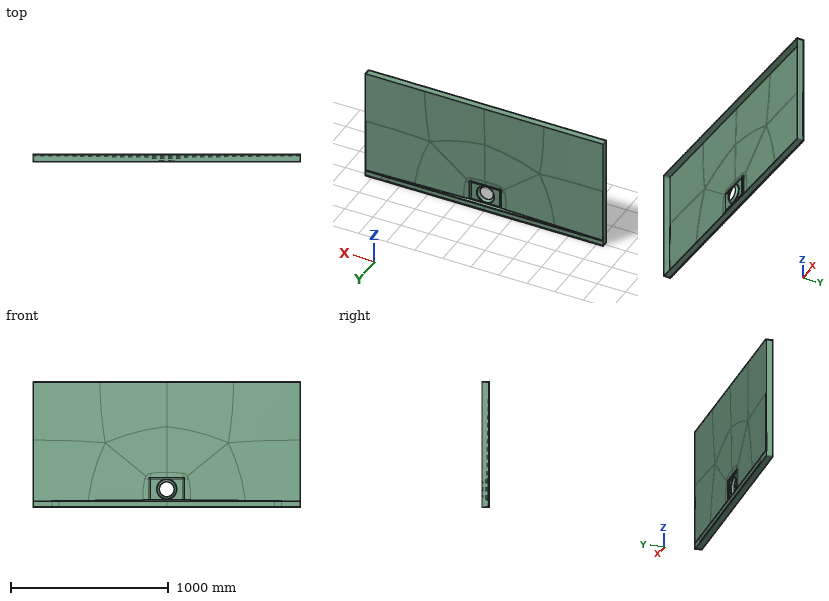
import cadquery as cq
LENGTH = 1700.0
DEPTH = 48.0
HEIGHT = 800.0
WALL = 5.0
FLOOR = 6.0
CORNER_RADIUS = 6.5
RIM_RADIUS = 3.0

BACK = DEPTH / 2
LEDGE_PLANE = BACK - FLOOR
INNER_X = LENGTH / 2 - WALL
INNER_TOP = HEIGHT - WALL
SHEET_SHIFT = cq.Vector(0, FLOOR, 0)

LEDGE_TOP = 38.5
LEDGE_OVERLAP = 1.5
RAMP_OUTER_X = 729.0
RAMP_INNER_X = 683.0
RAMP_DROP = 2.0
LEDGE_DROP = 2.5

STEP_DRAFT = 0.9
END_STEP_DROP = 3.5

RIDGE_X = 391.0
RIDGE_Z = 411.0
RIDGE_DROP = 8.0
CROWN_Z = 514.0
CROWN_DROP = 7.0
TOP_CREASE_X = 426.0
SIDE_CREASE_Z = 428.0
FOOT_X = 499.0
FOOT_DROP = 8.0
CREASE_BOW = 14.0
CREASE_SKEW = 7.0
SIDE_CREASE_BOW = 5.0

APRON_FOOT_X = 152.0
APRON_SIDE_X = 140.0
APRON_SIDE_Z = 180.0
APRON_CORNER_X = 129.0
APRON_CORNER_Z = 197.0
APRON_SHOULDER_X = 103.0
APRON_TOP_Z = 223.0
APRON_SHOULDER_Z = 217.0
APRON_DROP = 12.0
APRON_TOP_DROP = 11.5
APRON_BOW = 3.5
APRON_HEAD_BOW = 2.0

SUMP_X = 114.0
SUMP_TOP = 192.0
SUMP_TAPER = 12.0
SUMP_BASE_DROP = 14.0
SUMP_DROP = 20.0

DRAIN_Z = 116.0
DRAIN_RADIUS = 46.0
SPIGOT_BASE_RADIUS = 61.0
SPIGOT_TIP_RADIUS = 48.0
SPIGOT_LENGTH = 14.0


def point(x, z, drop):
    return cq.Vector(x, LEDGE_PLANE - drop, z)


def step_point(x, drop):
    """Point on the leaning step face between ledge and floor."""
    return point(x, LEDGE_TOP + STEP_DRAFT * drop, drop)


def line(a, b):
    return cq.Edge.makeLine(a, b)


def bowed(a, b, dx, dz):
    """Curve from a to b whose middle is pushed aside by (dx, dz)."""
    return cq.Edge.makeSpline([a, (a + b) / 2 + cq.Vector(dx, 0, dz), b])


def polygon(*points):
    return cq.Face.makeFromWires(cq.Wire.makePolygon(points, close=True))


def patch(*edges):
    return cq.Face.makeNSidedSurface(edges, [])


def half_floor_faces():
    """Underside patches of the floor for x < 0."""
    top_left = point(-INNER_X, INNER_TOP, 0)
    top_crease = point(-TOP_CREASE_X, INNER_TOP, 0)
    top_mid = point(0, INNER_TOP, 0)
    side_crease = point(-INNER_X, SIDE_CREASE_Z, 0)
    bottom_left = step_point(-INNER_X, END_STEP_DROP)
    step_end = step_point(-INNER_X, 0)
    step_mid = step_point(0, 0)
    ridge = point(-RIDGE_X, RIDGE_Z, RIDGE_DROP)
    crown = point(0, CROWN_Z, CROWN_DROP)
    foot = step_point(-FOOT_X, FOOT_DROP)
    apron_foot = step_point(-APRON_FOOT_X, APRON_DROP)
    apron_side = point(-APRON_SIDE_X, APRON_SIDE_Z, APRON_DROP)
    apron_corner = point(-APRON_CORNER_X, APRON_CORNER_Z, APRON_DROP)
    apron_shoulder = point(-APRON_SHOULDER_X, APRON_SHOULDER_Z, APRON_DROP)
    apron_top = point(0, APRON_TOP_Z, APRON_TOP_DROP)
    sump_foot = step_point(-SUMP_X, SUMP_BASE_DROP)
    sump_side = point(-SUMP_X, APRON_SIDE_Z, SUMP_BASE_DROP)
    sump_corner = point(-SUMP_X, SUMP_TOP, SUMP_BASE_DROP)
    sump_shoulder = point(-APRON_SHOULDER_X, SUMP_TOP, SUMP_BASE_DROP)
    sump_top = point(0, SUMP_TOP, SUMP_BASE_DROP)
    sump_mid = step_point(0, SUMP_BASE_DROP)

    upper_crease = bowed(top_crease, ridge, -CREASE_SKEW, 0)
    outer_crease = bowed(side_crease, ridge, 0, SIDE_CREASE_BOW)
    foot_crease = bowed(foot, ridge, -CREASE_BOW, CREASE_SKEW)
    crown_crease = bowed(ridge, crown, -CREASE_SKEW, CREASE_BOW)
    valley = line(ridge, apron_corner)
    mid_crease = line(crown, apron_top)
    apron_edge = bowed(apron_foot, apron_side, -APRON_BOW, 0)
    apron_low_corner = line(apron_side, apron_corner)
    apron_high_corner = bowed(apron_corner, apron_shoulder, -APRON_BOW, APRON_BOW)
    apron_head = bowed(apron_shoulder, apron_top, 0, APRON_HEAD_BOW)
    side_rib = line(apron_side, sump_side)
    top_rib = line(apron_shoulder, sump_shoulder)

    return [
        patch(line(side_crease, top_left), line(top_left, top_crease), upper_crease, outer_crease),
        patch(line(top_crease, top_mid), line(top_mid, crown), crown_crease, upper_crease),
        patch(line(bottom_left, side_crease), outer_crease, foot_crease, line(foot, bottom_left)),
        patch(foot_crease, valley, apron_low_corner, apron_edge, line(apron_foot, foot)),
        patch(crown_crease, mid_crease, apron_head, apron_high_corner, valley),
        cq.Face.makeRuledSurface(apron_edge, line(sump_foot, sump_side)),
        patch(
            apron_low_corner,
            apron_high_corner,
            top_rib,
            line(sump_shoulder, sump_corner),
            line(sump_corner, sump_side),
            side_rib,
        ),
        cq.Face.makeRuledSurface(apron_head, line(sump_shoulder, sump_top)),
        polygon(sump_mid, sump_foot, sump_side, sump_corner, sump_shoulder, sump_top),
        polygon(step_end, bottom_left, foot, apron_foot, sump_foot, sump_mid, step_mid),
    ]


def floor_rim():
    """Square edge around the floor sheet, against the walls and the ledge."""
    outline = [
        step_point(-INNER_X, 0),
        step_point(-INNER_X, END_STEP_DROP),
        point(-INNER_X, SIDE_CREASE_Z, 0),
        point(-INNER_X, INNER_TOP, 0),
        point(-TOP_CREASE_X, INNER_TOP, 0),
        point(0, INNER_TOP, 0),
        point(TOP_CREASE_X, INNER_TOP, 0),
        point(INNER_X, INNER_TOP, 0),
        point(INNER_X, SIDE_CREASE_Z, 0),
        step_point(INNER_X, END_STEP_DROP),
        step_point(INNER_X, 0),
        step_point(0, 0),
    ]
    return [
        polygon(start, end, end + SHEET_SHIFT, start + SHEET_SHIFT)
        for start, end in zip(outline, outline[1:] + outline[:1])
    ]


def floor_sheet():
    """Sheet between the falling underside and its copy one thickness back."""
    left = half_floor_faces()
    underside = left + [face.mirror("YZ") for face in left]
    upper_side = [face.translate(SHEET_SHIFT) for face in underside]
    shell = cq.Shell.makeShell(underside + upper_side + floor_rim())
    return cq.Workplane(cq.Solid.makeSolid(shell))


def ledge_sheet():
    underside = [
        (-INNER_X, LEDGE_PLANE),
        (-RAMP_OUTER_X, LEDGE_PLANE),
        (-RAMP_INNER_X, LEDGE_PLANE - RAMP_DROP),
        (0, LEDGE_PLANE - LEDGE_DROP),
        (RAMP_INNER_X, LEDGE_PLANE - RAMP_DROP),
        (RAMP_OUTER_X, LEDGE_PLANE),
        (INNER_X, LEDGE_PLANE),
    ]
    upper_side = [(x, y + FLOOR) for x, y in reversed(underside)]
    ledge_height = LEDGE_TOP + LEDGE_OVERLAP - WALL
    outline = cq.Workplane("XY", origin=(0, 0, WALL)).polyline(underside + upper_side).close()
    return outline.extrude(ledge_height)


def sump_outline(drop, inset):
    half_width = SUMP_X - inset
    bottom = step_point(0, SUMP_BASE_DROP).z
    top = SUMP_TOP - inset
    corners = [
        point(-half_width, bottom, drop),
        point(half_width, bottom, drop),
        point(half_width, top, drop),
        point(-half_width, top, drop),
    ]
    return cq.Wire.makePolygon(corners, close=True)


def sump_body():
    base = sump_outline(SUMP_BASE_DROP, 0)
    tip = sump_outline(SUMP_DROP, SUMP_TAPER)
    return cq.Workplane(cq.Solid.makeLoft([base, tip], True))


def rim_walls():
    block = cq.Workplane("XY").box(LENGTH, DEPTH, HEIGHT, centered=(True, True, False))
    block = block.edges("|Y").fillet(CORNER_RADIUS)
    block = block.faces(">Y").edges().fillet(RIM_RADIUS)
    cavity = (
        cq.Workplane("XY", origin=(0, -BACK, WALL))
        .box(2 * INNER_X, DEPTH, HEIGHT - 2 * WALL, centered=(True, False, False))
        .edges("|Y")
        .fillet(CORNER_RADIUS - WALL)
    )
    return block.cut(cavity)


def drain_cone(base_radius, tip_radius, base_drop):
    """Cone about the drain axis, from base_drop out to the spigot tip."""
    length = SUMP_DROP + SPIGOT_LENGTH - base_drop
    base_centre = point(0, DRAIN_Z, base_drop)
    return cq.Workplane(
        cq.Solid.makeCone(base_radius, tip_radius, length, base_centre, cq.Vector(0, -1, 0))
    )


def spigot():
    return drain_cone(SPIGOT_BASE_RADIUS, SPIGOT_TIP_RADIUS, SUMP_DROP)


def drain_funnel():
    """Hollow through the sump and spigot, as steep as the spigot's outside."""
    flare = (SPIGOT_BASE_RADIUS - SPIGOT_TIP_RADIUS) / SPIGOT_LENGTH
    base_radius = DRAIN_RADIUS + flare * (SPIGOT_LENGTH + FLOOR)
    return drain_cone(base_radius, DRAIN_RADIUS, SUMP_DROP - FLOOR)


tray = rim_walls().union(floor_sheet()).union(ledge_sheet())
tray = tray.union(sump_body()).cut(sump_body().translate(SHEET_SHIFT))
result = tray.union(spigot()).cut(drain_funnel())